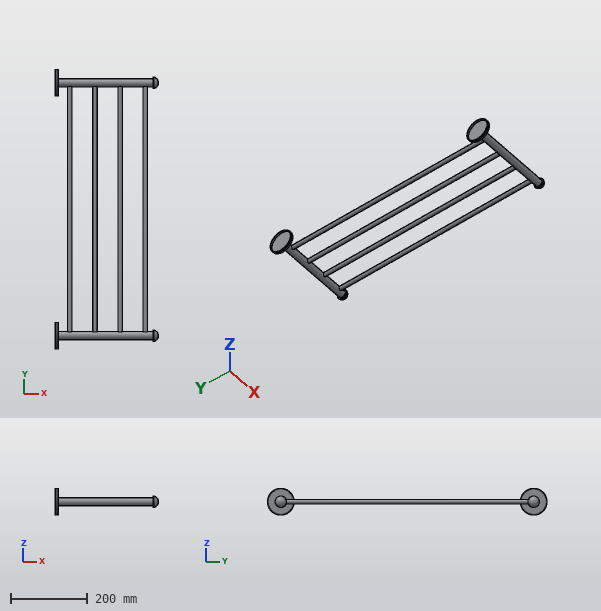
import cadquery as cq

total_length = 730.0
total_depth = 270.0

flange_diameter = 70.0
flange_thickness = 9.5
flange_edge_fillet = 2.0
recess_lip = 2.0
recess_depth = 5.0

post_diameter = 22.0
cap_diameter = 30.0
cap_length = 14.5
cap_band_width = 3.0
post_offset = (total_length - flange_diameter) / 2

rail_diameter = 12.5
rail_count = 4
first_rail_x = 39.0
rail_pitch = 66.0


def make_flange(y):
    """Round wall plate with a shallow recess in its back face."""
    plate = (
        cq.Workplane("YZ", origin=(0, y, 0))
        .circle(flange_diameter / 2)
        .extrude(flange_thickness)
        .faces(">X").edges().fillet(flange_edge_fillet)
    )
    recess = (
        cq.Workplane("YZ", origin=(0, y, 0))
        .circle(flange_diameter / 2 - recess_lip)
        .extrude(recess_depth)
    )
    return plate.cut(recess)


def make_post(y):
    """Round post from the flange face to its domed cap, revolved about its own axis."""
    post_radius = post_diameter / 2
    cap_radius = cap_diameter / 2
    cap_start = total_depth - cap_length
    dome_start = cap_start + cap_band_width
    dome_height = total_depth - dome_start
    sphere_radius = (cap_radius**2 + dome_height**2) / (2 * dome_height)
    mid_x = dome_start + dome_height / 2
    sphere_center_x = total_depth - sphere_radius
    mid_radius = (sphere_radius**2 - (mid_x - sphere_center_x) ** 2) ** 0.5
    return (
        cq.Workplane("XY", origin=(0, y, 0))
        .moveTo(flange_thickness, 0)
        .lineTo(flange_thickness, post_radius)
        .lineTo(cap_start, post_radius)
        .lineTo(cap_start, cap_radius)
        .lineTo(dome_start, cap_radius)
        .threePointArc((mid_x, mid_radius), (total_depth, 0))
        .close()
        .revolve(360, (0, 0, 0), (1, 0, 0))
    )


def make_rail(x, posts):
    """Round rail whose ends are shaped to sit against the two posts."""
    rail = (
        cq.Workplane("XZ", origin=(x, post_offset, 0))
        .circle(rail_diameter / 2)
        .extrude(2 * post_offset)
    )
    for post in posts:
        rail = rail.cut(post)
    return rail


post_positions = [-post_offset, post_offset]
flanges = [make_flange(y) for y in post_positions]
posts = [make_post(y) for y in post_positions]
rails = [make_rail(first_rail_x + i * rail_pitch, posts) for i in range(rail_count)]

result = cq.Compound.makeCompound([body.val() for body in flanges + posts + rails])